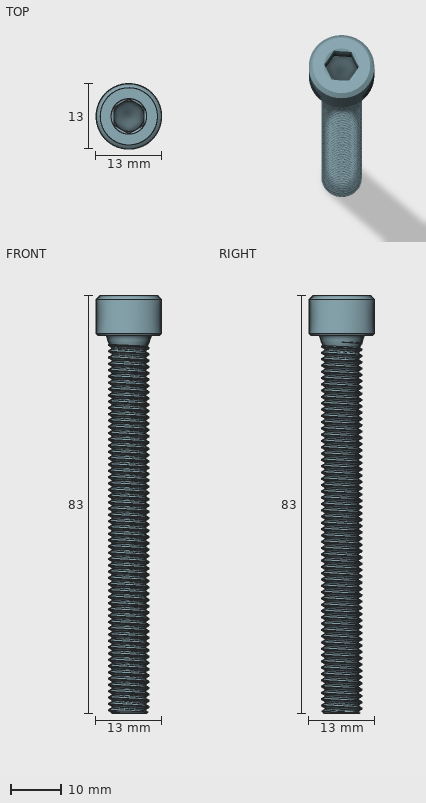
import cadquery as cq
import math

total_length = 83.0
head_diameter = 13.0
head_height = 8.0
head_top_chamfer = 0.8
head_bottom_chamfer = 0.4
shank_length = total_length - head_height

flare_diameter = 9.0
flare_height = 1.25
neck_radius = 4.1

thread_turns = 60
pitch = shank_length / thread_turns
major_diameter = 8.05
thread_depth = 0.7
crest_width = pitch / 8
flank_half_angle = 30.0
end_chamfer = 0.5
flank_points = 6

top_turns = 4
bottom_turns = 2
joint_tolerance = 0.001

runout_length = 1.7
runout_overlap = 0.1

socket_across_flats = 6.0
socket_depth = 4.0
socket_tip_half_angle = 60.0
socket_rim_diameter = 7.05
socket_rim_half_angle = 60.0

major_radius = major_diameter / 2
root_radius = major_radius - thread_depth
shank_end_z = -shank_length
runout_end_z = -flare_height - runout_length
top_joint_z = -top_turns * pitch
bottom_joint_z = shank_end_z + bottom_turns * pitch


def turned(outline):
    """Solid of revolution about Z from (radius, z) points."""
    return cq.Workplane("XZ").polyline(outline).close().revolve(360, (0, 0, 0), (0, 1, 0)).rotate(
        (0, 0, 0), (0, 0, 1), 180
    )


def thread_section(z):
    """Cross-section of the thread, with the crest centred on +X and spiral flanks."""
    flank_width = thread_depth * math.tan(math.radians(flank_half_angle))
    crest_end = math.pi * crest_width / pitch
    flank_end = crest_end + 2 * math.pi * flank_width / pitch

    def point(radius, angle):
        return cq.Vector(radius * math.cos(angle), radius * math.sin(angle), z)

    def flank(side):
        steps = [i / flank_points for i in range(flank_points + 1)]
        return cq.Edge.makeSpline([
            point(major_radius - thread_depth * t, side * (crest_end + (flank_end - crest_end) * t))
            for t in steps
        ])

    crest = cq.Edge.makeThreePointArc(
        point(major_radius, -crest_end), point(major_radius, 0), point(major_radius, crest_end)
    )
    root = cq.Edge.makeThreePointArc(
        point(root_radius, flank_end), point(root_radius, math.pi), point(root_radius, -flank_end)
    )
    return cq.Wire.assembleEdges([crest, flank(1), root, flank(-1)])


def threaded_rod(bottom_z, turns):
    """Threaded length of whole turns, made by twisting the cross-section along the axis."""
    return cq.Workplane(
        cq.Solid.extrudeLinearWithRotation(
            thread_section(bottom_z), [], cq.Vector(0, 0, bottom_z), cq.Vector(0, 0, turns * pitch), -360 * turns
        )
    )


def head_and_neck():
    """Chamfered head, flared neck and the cone on which the thread runs out."""
    head_radius = head_diameter / 2
    return turned([
        (0, runout_end_z),
        (root_radius - runout_overlap, runout_end_z),
        (neck_radius, -flare_height),
        (flare_diameter / 2, 0),
        (head_radius - head_bottom_chamfer, 0),
        (head_radius, head_bottom_chamfer),
        (head_radius, head_height - head_top_chamfer),
        (head_radius - head_top_chamfer, head_height),
        (0, head_height),
    ])


def chamfered_end():
    """Bottom turns of the thread, cut from one extra turn by a flat end with a 45 degree chamfer."""
    clearance = end_chamfer
    envelope = turned([
        (0, shank_end_z),
        (major_radius - end_chamfer, shank_end_z),
        (major_radius + clearance, shank_end_z + end_chamfer + clearance),
        (major_radius + clearance, 0),
        (0, 0),
    ])
    return threaded_rod(shank_end_z - pitch, bottom_turns + 1).intersect(envelope)


def cone_below(top_z, radius, half_angle):
    """Cone pointing down from a circle at top_z."""
    height = radius / math.tan(math.radians(half_angle))
    return cq.Workplane(cq.Solid.makeCone(radius, 0, height, cq.Vector(0, 0, top_z), cq.Vector(0, 0, -1)))


def hex_socket():
    """Hexagonal recess with corners on the Y axis, a conical bottom and a countersunk rim."""
    floor_z = head_height - socket_depth
    across_corners = socket_across_flats / math.cos(math.radians(30))
    hexagon = (
        cq.Workplane("XY", origin=(0, 0, floor_z))
        .transformed(rotate=(0, 0, 90))
        .polygon(6, across_corners)
        .extrude(socket_depth)
    )
    tip = cone_below(floor_z, socket_across_flats / 2, socket_tip_half_angle)
    rim = cone_below(head_height, socket_rim_diameter / 2, socket_rim_half_angle)
    return hexagon.union(tip).union(rim)


def side_faces(part, joint_z):
    """Faces of one length, without the flat caps where it meets its neighbours."""
    def on_joint(face):
        return face.geomType() == "PLANE" and any(abs(face.Center().z - z) < joint_tolerance for z in joint_z)

    return [face for face in part.faces().vals() if not on_joint(face)]


top_length = head_and_neck().union(threaded_rod(top_joint_z, top_turns)).cut(hex_socket())
outer_faces = side_faces(top_length, [top_joint_z])
outer_faces += side_faces(chamfered_end(), [bottom_joint_z])

single_turn = side_faces(threaded_rod(bottom_joint_z, 1), [bottom_joint_z, bottom_joint_z + pitch])
for turn in range(thread_turns - top_turns - bottom_turns):
    rise = cq.Vector(0, 0, turn * pitch)
    outer_faces += [face.translate(rise) for face in single_turn]

result = cq.Workplane(cq.Solid.makeSolid(cq.Shell.makeShell(outer_faces)))